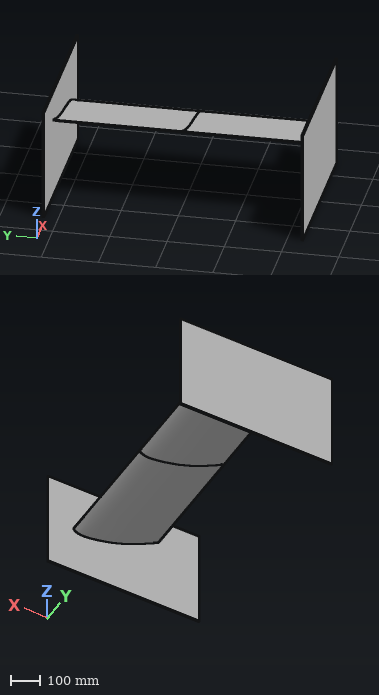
import cadquery as cq

TOTAL_SPAN = 910.0
PLATE_LENGTH = 600.0
PLATE_HEIGHT = 400.0
PLATE_THICKNESS = 5.0
WING_SPAN = TOTAL_SPAN / 2 - PLATE_THICKNESS

TRAILING_EDGE_TOP = (-136.5, 93.0)
TRAILING_EDGE_BOTTOM = (-136.5, 91.0)
UPPER_POINTS = [(-70.0, 67.0), (-4.0, 49.0), (64.0, 38.0), (132.0, 26.0), (177.0, 14.0), (195.0, 5.5)]
NOSE = (200.0, -3.0)
LOWER_POINTS = [(195.0, -8.0), (177.0, -16.0), (132.0, -15.5), (64.0, -1.0), (-4.0, 23.0), (-70.0, 55.0)]


def make_wing(start_y):
    """One wing half, extruded along +Y from start_y."""
    return (
        cq.Workplane("XZ", origin=(0, start_y, 0))
        .moveTo(*TRAILING_EDGE_TOP)
        .spline([*UPPER_POINTS, NOSE], includeCurrent=True)
        .spline([*LOWER_POINTS, TRAILING_EDGE_BOTTOM], includeCurrent=True)
        .close()
        .extrude(-WING_SPAN)
    )


def make_end_plate(side):
    """Flat end plate closing the wing on the given Y side (-1 or +1)."""
    plate_center_y = side * (WING_SPAN + PLATE_THICKNESS / 2)
    return (
        cq.Workplane("XY")
        .box(PLATE_LENGTH, PLATE_THICKNESS, PLATE_HEIGHT)
        .translate((0, plate_center_y, 0))
    )


wings = [make_wing(start_y).val() for start_y in (-WING_SPAN, 0)]
end_plates = [make_end_plate(side).val() for side in (-1, 1)]

result = cq.Compound.makeCompound([*wings, *end_plates])